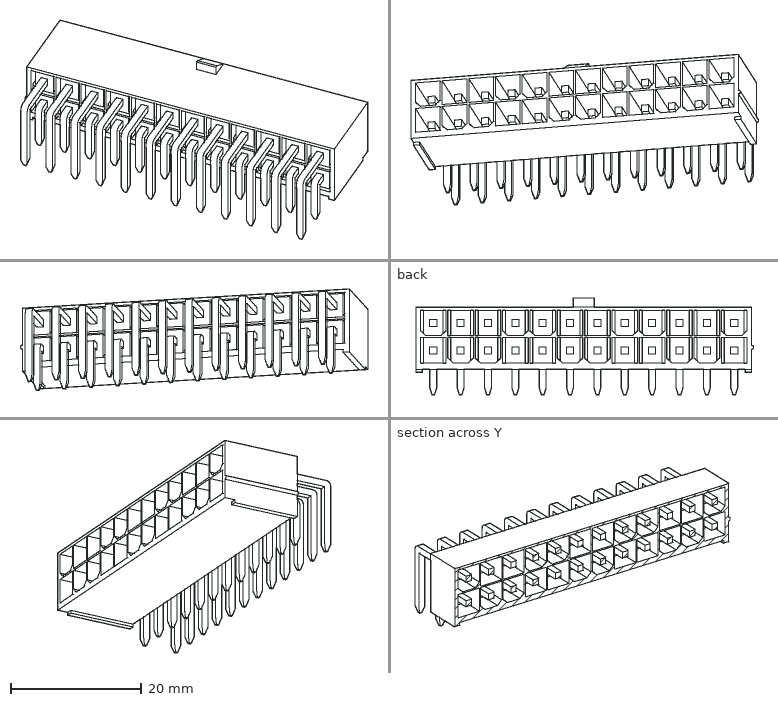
import cadquery as cq


pitch = 4.2
columns = 12
column_x = [(i - (columns - 1) / 2) * pitch for i in range(columns)]
lower_row_z = 3.4
upper_row_z = lower_row_z + pitch

housing_width = 51.6
housing_depth = 12.8
housing_height = 10.0
foot_height = 0.45
foot_width = 1.0
foot_setback = 1.75

cell_size = 3.9
plate_width = 3.05
plate_recess = 0.7
plate_thickness = 2.1

key_size = 0.8
upper_key_columns = (0, 3, 4, 7, 8, 11)
lower_key_columns = (1, 2, 5, 6, 9, 10)

latch_width = 3.25
latch_height = 1.4
latch_length = 2.95
latch_flat = 0.4
rib_radius = 0.3
rib_z = 3.85

pin_size = 1.1
bend_radius = 0.85
upper_pin_reach = 7.15
lower_pin_reach = 1.65
pin_tip_z = -3.5
taper_length = 1.1
tip_size = 0.4
pin_end_gap = 2.6


def box(width, depth, height, x, y, z):
    """Box centred on x, starting at y and z."""
    return cq.Workplane("XY").box(width, depth, height, centered=(True, False, False)).translate((x, y, z))


def make_shell():
    """Outer block standing on two feet that stop short of the mating face."""
    block = box(housing_width, housing_depth, housing_height - foot_height, 0, 0, foot_height)
    for side in (-1, 1):
        foot_x = side * (housing_width - foot_width) / 2
        block = block.union(box(foot_width, housing_depth - foot_setback, foot_height, foot_x, 0, 0))
    return block


def cell_centres():
    return [(x, z) for z in (lower_row_z, upper_row_z) for x in column_x]


def make_cell_tunnels():
    """Square tunnels running through the full depth of the housing."""
    return cq.Workplane("XZ").pushPoints(cell_centres()).rect(cell_size, cell_size).extrude(-housing_depth)


def make_plates():
    """Plates that leave an open slit on either side of each cell."""
    plates = cq.Workplane("XZ", origin=(0, plate_recess, 0)).pushPoints(cell_centres())
    return plates.rect(plate_width, cell_size).extrude(-plate_thickness)


def make_key(x, z):
    """Triangular fillers in the two bottom corners of the cell centred at x, z."""
    length = housing_depth - plate_recess
    floor_z = z - cell_size / 2
    key = cq.Workplane("XZ", origin=(0, plate_recess, 0))
    for side in (-1, 1):
        wall_x = x + side * cell_size / 2
        key = key.moveTo(wall_x, floor_z).lineTo(wall_x - side * key_size, floor_z)
        key = key.lineTo(wall_x, floor_z + key_size).close()
    return key.extrude(-length)


def make_latch():
    """Ramp rising from the mating edge of the roof to a short flat top."""
    rear_y = housing_depth - latch_length
    top_z = housing_height + latch_height
    profile = cq.Workplane("YZ", origin=(-latch_width / 2, 0, 0)).polyline([
        (housing_depth, housing_height),
        (rear_y, housing_height),
        (rear_y, top_z),
        (rear_y + latch_flat, top_z),
    ])
    return profile.close().extrude(latch_width)


def make_rib():
    """Half-round rib along the -X side; its inner half is buried in the wall."""
    return cq.Workplane("XZ").center(-housing_width / 2, rib_z).circle(rib_radius).extrude(-housing_depth)


def make_pin(row_z, reach):
    """Square pin at x = 0: horizontal leg, bend and downward leg with a tapered tip."""
    end_y = housing_depth - pin_end_gap
    top_z = row_z + pin_size / 2
    shoulder_z = pin_tip_z + taper_length
    horizontal = box(pin_size, reach + end_y, pin_size, 0, -reach, top_z - pin_size)
    vertical = box(pin_size, pin_size, top_z - shoulder_z, 0, -reach, shoulder_z)
    bent = horizontal.union(vertical).edges("|X and >Z and <Y").fillet(bend_radius)
    tip = (
        cq.Workplane("XY", origin=(0, -reach + pin_size / 2, shoulder_z))
        .rect(pin_size, pin_size)
        .workplane(offset=-taper_length)
        .rect(tip_size, tip_size)
        .loft(ruled=True)
    )
    return bent.union(tip)


result = make_shell().cut(make_cell_tunnels()).union(make_plates())

for keyed_columns, key_row_z in ((lower_key_columns, lower_row_z), (upper_key_columns, upper_row_z)):
    for column in keyed_columns:
        result = result.union(make_key(column_x[column], key_row_z))

result = result.union(make_latch()).union(make_rib())

for row_z, reach in ((lower_row_z, lower_pin_reach), (upper_row_z, upper_pin_reach)):
    pin = make_pin(row_z, reach)
    for x in column_x:
        result = result.union(pin.translate((x, 0, 0)))